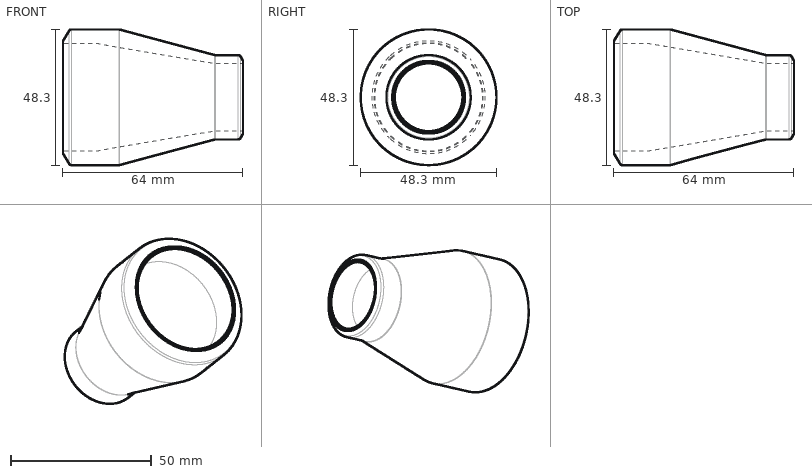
import cadquery as cq
import math

length = 64.0
large_end_length = 20.0
small_end_length = 10.0
large_bore_length = 12.0
large_diameter = 48.3
large_bore = 38.3
small_diameter = 30.0
small_bore = 24.0

land_width = 0.95
bevel_angle = 31.0
edge_radius = 1.0
bore_break = 0.25

large_radius = large_diameter / 2
small_radius = small_diameter / 2
large_bore_radius = large_bore / 2
small_bore_radius = small_bore / 2
taper_start = large_end_length
taper_end = length - small_end_length


def bevel_depth(outer_radius, bore_radius):
    """Axial depth of the bevel before its outer edge is rounded."""
    rise = outer_radius - bore_radius - land_width
    return rise * math.tan(math.radians(bevel_angle))


large_bevel = bevel_depth(large_radius, large_bore_radius)
small_bevel = bevel_depth(small_radius, small_bore_radius)

section = [
    (bore_break, large_bore_radius),
    (0, large_bore_radius + bore_break),
    (0, large_bore_radius + land_width),
    (large_bevel, large_radius),
    (taper_start, large_radius),
    (taper_end, small_radius),
    (length - small_bevel, small_radius),
    (length, small_bore_radius + land_width),
    (length, small_bore_radius + bore_break),
    (length - bore_break, small_bore_radius),
    (taper_end, small_bore_radius),
    (large_bore_length, large_bore_radius),
]
reducer = cq.Workplane("XY").polyline(section).close().revolve(360, (0, 0, 0), (1, 0, 0))


def round_outer_edge(body, x):
    """Round the outside edge lying at position x along the axis."""
    margin = edge_radius / 10
    slab = cq.selectors.BoxSelector(
        (x - margin, -length, -length),
        (x + margin, length, length),
        boundingbox=True,
    )
    circles = body.edges("%CIRCLE").edges(slab).vals()
    outermost = max(circles, key=lambda circle: circle.radius())
    return body.newObject([outermost]).fillet(edge_radius)


for edge_x in (large_bevel, taper_start, taper_end, length - small_bevel):
    reducer = round_outer_edge(reducer, edge_x)

result = reducer